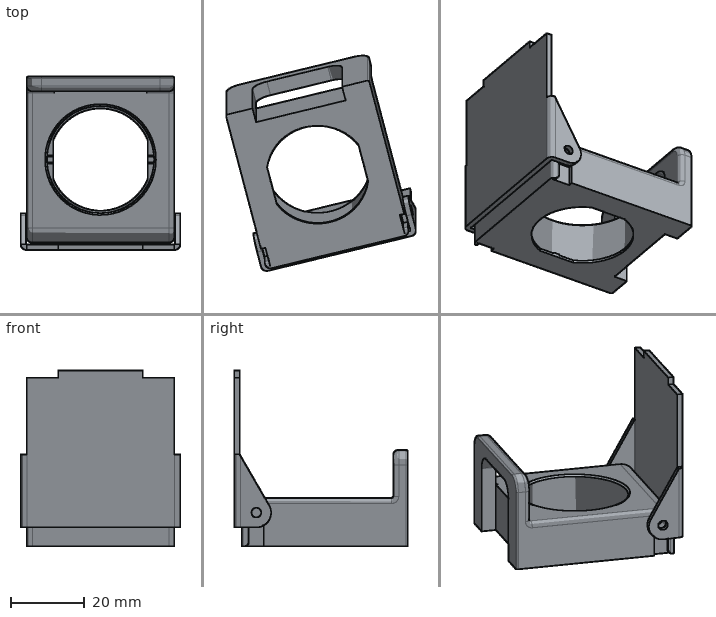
import cadquery as cq
import math


BASE_WIDTH = 40.0
BASE_DEPTH = 45.0
BASE_HEIGHT = 13.1
FRONT_TOP_RADIUS = 4.0
EDGE_RADIUS = 1.48
BACK_EDGE_RADIUS = 0.5

HANDLE_HEIGHT = 26.1
HANDLE_THICKNESS = 4.0
HANDLE_CORNER_RADIUS = 4.0
HANDLE_ROOT_RADIUS = 0.48
WINDOW_WIDTH = 25.0
HANDLE_BAR_HEIGHT = 4.0
WINDOW_CORNER_RADIUS = 4.0

BORE_DIAMETER = 29.0
BORE_CHAMFER = 0.5
LIP_DIAMETER = 27.6
LIP_FLAT_WIDTH = 25.5
LIP_THICKNESS = 0.75
BORE_Y = BASE_DEPTH / 2
RIDGE_BASE_WIDTH = 2.3
RIDGE_TOP_WIDTH = 1.5
RIDGE_HEIGHT = 0.3

RECESS_DEPTH = 1.25
RECESS_FRONT = 2.0
RECESS_BACK = 6.0
RECESS_HEIGHT = 5.7
RECESS_LIP_RADIUS = 1.25

SIDE_GAP = 0.1
FRONT_GAP = 0.48
LID_THICKNESS = 1.5
LID_HEIGHT = 47.6
LID_BOTTOM = 5.1
SHOULDER_DROP = 2.0
TAB_WIDTH = 23.0
ARM_SLOPE = math.radians(60)
HINGE_RADIUS = 4.0
HINGE_HOLE_DIAMETER = 2.6
HINGE_HOLE_DEPTH = 5.0

HINGE_Y = 4.0
HINGE_Z = LID_BOTTOM + HINGE_RADIUS
LID_BACK_Y = -FRONT_GAP
LID_FRONT_Y = LID_BACK_Y - LID_THICKNESS
LID_INNER_WIDTH = BASE_WIDTH + 2 * SIDE_GAP
LID_OUTER_WIDTH = LID_INNER_WIDTH + 2 * LID_THICKNESS
ARM_TOP = HINGE_Z + HINGE_RADIUS / math.cos(ARM_SLOPE) + (HINGE_Y - LID_BACK_Y) * math.tan(ARM_SLOPE)
HANDLE_FRONT_Y = BASE_DEPTH - HANDLE_THICKNESS


def hinge_hole(side):
    """Blind pin hole that passes through a lid arm and ends inside the base."""
    return (
        cq.Workplane("YZ", origin=(side * LID_OUTER_WIDTH / 2, 0, 0))
        .center(HINGE_Y, HINGE_Z)
        .circle(HINGE_HOLE_DIAMETER / 2)
        .extrude(-side * HINGE_HOLE_DEPTH)
    )


def base_blank():
    """L-shaped block with its rounded edges, before any cuts."""
    blank = (
        cq.Workplane("YZ", origin=(-BASE_WIDTH / 2, 0, 0))
        .polyline([
            (0, 0),
            (BASE_DEPTH, 0),
            (BASE_DEPTH, HANDLE_HEIGHT),
            (HANDLE_FRONT_Y, HANDLE_HEIGHT),
            (HANDLE_FRONT_Y, BASE_HEIGHT),
            (0, BASE_HEIGHT),
        ])
        .close()
        .extrude(BASE_WIDTH)
    )
    blank = blank.edges("|Y and >Z").fillet(HANDLE_CORNER_RADIUS)
    front_top = cq.selectors.NearestToPointSelector((0, 0, BASE_HEIGHT))
    blank = blank.edges(front_top).fillet(FRONT_TOP_RADIUS)
    handle_root = cq.selectors.NearestToPointSelector((0, HANDLE_FRONT_Y, BASE_HEIGHT))
    blank = blank.edges(handle_root).fillet(HANDLE_ROOT_RADIUS)
    handle_top_front = cq.selectors.NearestToPointSelector((0, HANDLE_FRONT_Y, HANDLE_HEIGHT))
    blank = blank.edges(handle_top_front).fillet(EDGE_RADIUS)
    return blank.faces(">Y").edges("not <Z").fillet(BACK_EDGE_RADIUS)


def handle_window():
    """Finger opening through the handle that continues as a slot down to the underside."""
    upper_height = HANDLE_HEIGHT - HANDLE_BAR_HEIGHT - BASE_HEIGHT
    upper_depth = HANDLE_THICKNESS + HANDLE_ROOT_RADIUS
    upper = (
        cq.Workplane("XY", origin=(0, BASE_DEPTH - upper_depth, BASE_HEIGHT))
        .box(WINDOW_WIDTH, upper_depth, upper_height, centered=(True, False, False))
        .edges("|Y and >Z")
        .fillet(WINDOW_CORNER_RADIUS)
    )
    slot = cq.Workplane("XY", origin=(0, HANDLE_FRONT_Y, 0)).box(
        WINDOW_WIDTH, HANDLE_THICKNESS, BASE_HEIGHT, centered=(True, False, False)
    )
    return upper.union(slot)


def seat():
    """Chamfered bore that leaves a thin lip with two flats at the bottom."""
    center = (0, BORE_Y, 0)
    bore = (
        cq.Workplane("XY", origin=center)
        .workplane(offset=LIP_THICKNESS)
        .circle(BORE_DIAMETER / 2)
        .extrude(BASE_HEIGHT - LIP_THICKNESS)
    )
    mouth = cq.Workplane(cq.Solid.makeCone(
        BORE_DIAMETER / 2,
        BORE_DIAMETER / 2 + BORE_CHAMFER,
        BORE_CHAMFER,
        pnt=cq.Vector(0, BORE_Y, BASE_HEIGHT - BORE_CHAMFER),
    ))
    lip_opening = cq.Workplane("XY", origin=center).circle(LIP_DIAMETER / 2).extrude(LIP_THICKNESS)
    flats = cq.Workplane("XY", origin=center).box(
        LIP_FLAT_WIDTH, LIP_DIAMETER, LIP_THICKNESS, centered=(True, True, False)
    )
    return bore.union(mouth).union(lip_opening.intersect(flats))


def lip_ridge(side):
    """Small raised ridge across the flat part of the lip."""
    outer_x = BORE_DIAMETER / 2
    length = outer_x - LIP_FLAT_WIDTH / 2
    ridge = (
        cq.Workplane("YZ", origin=(LIP_FLAT_WIDTH / 2, BORE_Y, LIP_THICKNESS))
        .polyline([
            (-RIDGE_BASE_WIDTH / 2, 0),
            (RIDGE_BASE_WIDTH / 2, 0),
            (RIDGE_TOP_WIDTH / 2, RIDGE_HEIGHT),
            (-RIDGE_TOP_WIDTH / 2, RIDGE_HEIGHT),
        ])
        .close()
        .extrude(length)
    )
    return ridge if side > 0 else ridge.mirror("YZ")


def side_recess(side):
    """Pocket in a side face, open at the underside, with a rounded front lower edge."""
    start_x = side * BASE_WIDTH / 2
    return (
        cq.Workplane("YZ", origin=(start_x, 0, 0))
        .moveTo(RECESS_BACK, 0)
        .lineTo(RECESS_BACK, RECESS_HEIGHT)
        .lineTo(RECESS_FRONT, RECESS_HEIGHT)
        .lineTo(RECESS_FRONT, RECESS_LIP_RADIUS)
        .radiusArc((RECESS_FRONT - RECESS_LIP_RADIUS, 0), RECESS_LIP_RADIUS)
        .close()
        .extrude(-side * RECESS_DEPTH)
    )


def make_base():
    base = base_blank().cut(handle_window()).cut(seat())
    for side in (-1, 1):
        base = base.union(lip_ridge(side)).cut(side_recess(side)).cut(hinge_hole(side))
    return base


def arm_profile():
    """Side outline of the arms: round hinge end and a slope tangent to it."""
    tangent_y = HINGE_Y + HINGE_RADIUS * math.sin(ARM_SLOPE)
    tangent_z = HINGE_Z + HINGE_RADIUS * math.cos(ARM_SLOPE)
    low_y = HINGE_Y + HINGE_RADIUS * math.cos(ARM_SLOPE / 2)
    low_z = HINGE_Z - HINGE_RADIUS * math.sin(ARM_SLOPE / 2)
    return (
        cq.Workplane("YZ", origin=(-LID_OUTER_WIDTH / 2, 0, 0))
        .moveTo(LID_FRONT_Y, LID_BOTTOM)
        .lineTo(HINGE_Y, LID_BOTTOM)
        .threePointArc((low_y, low_z), (tangent_y, tangent_z))
        .lineTo(LID_BACK_Y, ARM_TOP)
        .lineTo(LID_FRONT_Y, ARM_TOP)
        .close()
        .extrude(LID_OUTER_WIDTH)
    )


def lid_channel():
    """U-shaped channel with rounded bends, tall enough for the arms."""
    height = ARM_TOP - LID_BOTTOM
    back_y = HINGE_Y + HINGE_RADIUS
    outer = (
        cq.Workplane("XY", origin=(0, LID_FRONT_Y, LID_BOTTOM))
        .box(LID_OUTER_WIDTH, back_y - LID_FRONT_Y, height, centered=(True, False, False))
        .edges("|Z and <Y")
        .fillet(LID_THICKNESS + SIDE_GAP)
    )
    inner = (
        cq.Workplane("XY", origin=(0, LID_BACK_Y, LID_BOTTOM))
        .box(LID_INNER_WIDTH, back_y - LID_BACK_Y, height, centered=(True, False, False))
        .edges("|Z and <Y")
        .fillet(SIDE_GAP)
    )
    return outer.cut(inner).intersect(arm_profile())


def lid_plate():
    """Flat plate with a raised tab in the middle of its top edge."""
    origin = (0, LID_FRONT_Y, LID_BOTTOM)
    plate_height = LID_HEIGHT - LID_BOTTOM
    centered = (True, False, False)
    plate = cq.Workplane("XY", origin=origin).box(
        BASE_WIDTH, LID_THICKNESS, plate_height - SHOULDER_DROP, centered=centered
    )
    tab = cq.Workplane("XY", origin=origin).box(TAB_WIDTH, LID_THICKNESS, plate_height, centered=centered)
    return plate.union(tab)


def make_lid():
    lid = lid_plate().union(lid_channel())
    for side in (-1, 1):
        lid = lid.cut(hinge_hole(side))
    return lid


base = make_base()
lid = make_lid()
result = cq.Compound.makeCompound([base.val(), lid.val()])